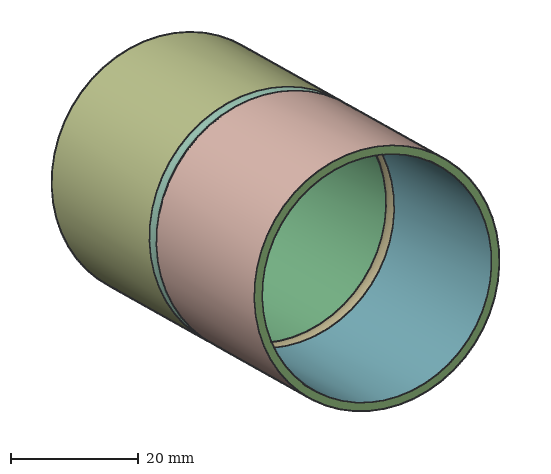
import cadquery as cq

tube_length = 70.0
outer_diameter = 43.0
wall_thickness = 1.4

groove_width = 2.4
groove_depth = 0.6
ridge_width = 2.8
ridge_height = 0.4

outer_radius = outer_diameter / 2
inner_radius = outer_radius - wall_thickness
half_length = tube_length / 2
half_groove = groove_width / 2
half_ridge = ridge_width / 2


def tube_wall_section():
    """Section of the wall above the X axis, in the XZ plane, dented inwards at the bead."""
    return (
        cq.Workplane("XZ")
        .moveTo(-half_length, inner_radius)
        .lineTo(-half_ridge, inner_radius)
        .threePointArc((0, inner_radius - ridge_height), (half_ridge, inner_radius))
        .lineTo(half_length, inner_radius)
        .lineTo(half_length, outer_radius)
        .lineTo(half_groove, outer_radius)
        .threePointArc((0, outer_radius - groove_depth), (-half_groove, outer_radius))
        .lineTo(-half_length, outer_radius)
        .close()
    )


result = tube_wall_section().revolve(360, (0, 0, 0), (1, 0, 0))